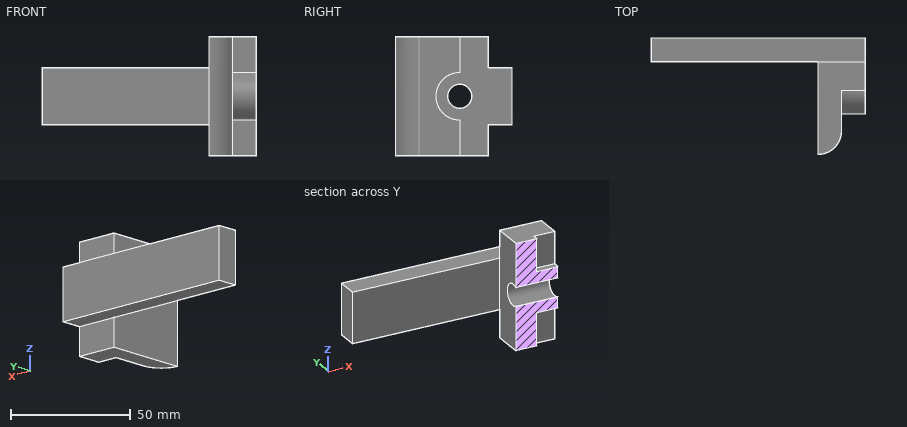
import cadquery as cq

bar_length = 90.0
bar_height = 24.0
thickness = 10.0
plate_height = 50.0
plate_depth = 39.0
block_depth = 12.0
hole_diameter = 10.0

edge_radius = thickness
block_length = 2 * thickness
lug_radius = hole_diameter
plate_left = bar_length - block_length
plate_right = plate_left + thickness

bar = cq.Workplane("XY").box(
    bar_length, thickness, bar_height, centered=(False, False, True)
)

bracket = (
    cq.Workplane("XY")
    .workplane(offset=-plate_height / 2)
    .moveTo(plate_left, 0)
    .lineTo(bar_length, 0)
    .lineTo(bar_length, -block_depth)
    .lineTo(plate_right, -block_depth)
    .lineTo(plate_right, -plate_depth + edge_radius)
    .radiusArc((plate_left, -plate_depth), edge_radius)
    .close()
    .extrude(plate_height)
)


def cylinder_along_x(radius):
    """Cylinder on the lug axis, spanning the plate and the block."""
    return (
        cq.Workplane("YZ", origin=(plate_left, -block_depth, 0))
        .circle(radius)
        .extrude(block_length)
    )


lug = cylinder_along_x(lug_radius)
hole = cylinder_along_x(hole_diameter / 2)

result = bar.union(bracket).union(lug).cut(hole)